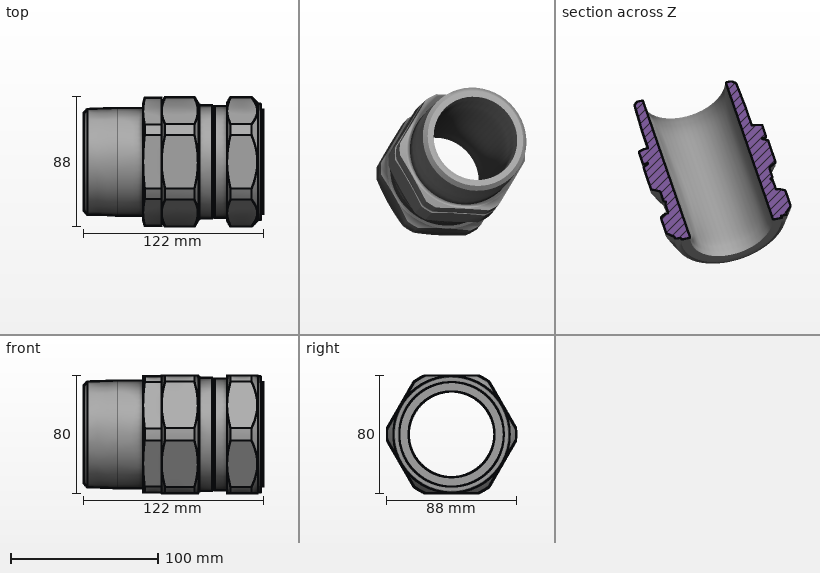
import cadquery as cq
import math

total_length = 122.0
bore_radius = 29.0

thread_tip_radius = 33.2
thread_chamfer_length = 2.6
taper_start_radius = 36.0
taper_end = 23.0
thread_radius = 36.7

collar_start = 40.3
collar_end = 53.0
collar_flats = 79.2
collar_corner_radius = 43.5
collar_face_radius = 39.2
collar_chamfer_length = 1.2

nut_flats = 80.0
nut_corner_radius = 43.98
nut_chamfer_angle = 30
nut_chamfer_length = 2.3

body_nut_end = 78.1
body_nut_end_radius = 38.9
body_nut_end_chamfer_angle = 30
body_nut_lip_length = 0.4

cap_nut_start = 97.4
cap_nut_end = 118.3

front_band_radius = 38.5
rear_band_radius = 38.1
groove_start = 87.1
groove_bottom = 87.8
groove_end = 89.2
groove_radius = 36.8

rim_radius = 39.5
rim_end = 120.3
rim_fillet = 0.9
seal_radius = 35.5


def revolved(points):
    """Turn an (x, radius) outline, closed along the X axis, about X."""
    outline = [(points[0][0], 0), *points, (points[-1][0], 0)]
    return cq.Workplane("XY").polyline(outline).close().revolve(360, (0, 0, 0), (1, 0, 0))


def hexagon(flats, envelope):
    """Hexagonal bar with flats facing +Z and -Z, trimmed by a turned (x, radius) outline."""
    start = envelope[0][0]
    length = envelope[-1][0] - start
    across_corners = flats / math.cos(math.radians(30))
    bar = cq.Workplane("YZ").workplane(offset=start).polygon(6, across_corners).extrude(length)
    return bar.intersect(revolved(envelope))


def thread_end():
    return revolved([
        (0, thread_tip_radius),
        (thread_chamfer_length, taper_start_radius),
        (taper_end, thread_radius),
        (collar_start, thread_radius),
    ])


def collar():
    return hexagon(collar_flats, [
        (collar_start, collar_face_radius),
        (collar_start + collar_chamfer_length, collar_corner_radius),
        (collar_end, collar_corner_radius),
    ])


def nut(start, end, end_radius, end_chamfer_length):
    """Hexagon with rounded corners, chamfered at both ends."""
    chamfer_depth = nut_chamfer_length / math.tan(math.radians(nut_chamfer_angle))
    return hexagon(nut_flats, [
        (start, nut_corner_radius - chamfer_depth),
        (start + nut_chamfer_length, nut_corner_radius),
        (end - end_chamfer_length, nut_corner_radius),
        (end, end_radius),
    ])


def body_nut():
    chamfer_depth = nut_corner_radius - body_nut_end_radius
    chamfer_length = chamfer_depth * math.tan(math.radians(body_nut_end_chamfer_angle))
    return nut(collar_end, body_nut_end, body_nut_end_radius, chamfer_length)


def cap_nut():
    return nut(cap_nut_start, cap_nut_end, rim_radius, nut_corner_radius - rim_radius)


def grooved_bands():
    """Narrow lip behind the body nut, then the two bands with the V groove between them."""
    lip_end = body_nut_end + body_nut_lip_length
    return revolved([
        (body_nut_end, body_nut_end_radius),
        (lip_end, body_nut_end_radius),
        (lip_end, front_band_radius),
        (groove_start, front_band_radius),
        (groove_bottom, groove_radius),
        (groove_end, rear_band_radius),
        (cap_nut_start, rear_band_radius),
    ])


def rim():
    ring = revolved([(cap_nut_end, rim_radius), (rim_end, rim_radius)])
    return ring.faces(">X").edges().fillet(rim_fillet)


def seal():
    return revolved([(rim_end, seal_radius), (total_length, seal_radius)])


def bore():
    return cq.Workplane("YZ").circle(bore_radius).extrude(total_length)


result = thread_end()
for section in (collar(), body_nut(), grooved_bands(), cap_nut(), rim(), seal()):
    result = result.union(section)
result = result.cut(bore())